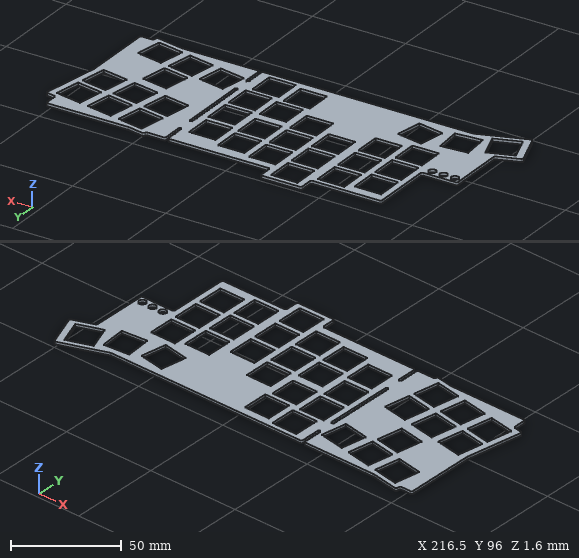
import cadquery as cq
import math

length = 216.5
depth = 96.0
thickness = 1.6

key_opening = 14.0
three_row_span = 34.0
row_pitch = three_row_span / 2
border_half_width = 11.0
border_half_height = 10.0
corner_radius = 0.9

plate_left = 31.2
plate_right = 211.2
plate_bottom = 9.0
plate_top = 88.0

shelf_left = 12.1
shelf_top = 54.1
shelf_hole_count = 3
shelf_hole_diameter = 4.0
shelf_hole_start = 15.5
shelf_hole_pitch = 6.0
shelf_hole_y = 50.7

slot_x = 146.5
slot_width = 1.3
edge_slot_depth = 12.0
middle_slot_bottom = 29.2
middle_slot_top = 68.0


def border_reach(angle):
    """Half extents along X and Y of a rounded key border turned by angle."""
    cosine = math.cos(math.radians(abs(angle)))
    sine = math.sin(math.radians(abs(angle)))
    straight_x = border_half_width - corner_radius
    straight_y = border_half_height - corner_radius
    reach_x = straight_x * cosine + straight_y * sine + corner_radius
    reach_y = straight_x * sine + straight_y * cosine + corner_radius
    return reach_x, reach_y


def shifted(origin, along, across, angle):
    """Point reached from origin by steps along and across a direction turned by angle."""
    cosine = math.cos(math.radians(angle))
    sine = math.sin(math.radians(angle))
    x = origin[0] + along * cosine - across * sine
    y = origin[1] + along * sine + across * cosine
    return x, y


def slab(left, right, bottom, top):
    """Full-thickness plate between the given edges."""
    plate = cq.Workplane("XY").box(right - left, top - bottom, thickness, centered=False)
    return plate.translate((left, bottom, 0))


def placed(body, center, angle):
    """Body turned about Z at the origin, then moved to a centre point."""
    return body.rotate((0, 0, 0), (0, 0, 1), angle).translate((center[0], center[1], 0))


def key_border(center, angle, extra_right=0, extra_down=0):
    """Plate area around a key, optionally lengthened to its right or downward."""
    border = slab(
        -border_half_width,
        border_half_width + extra_right,
        -border_half_height - extra_down,
        border_half_height,
    )
    return placed(border, center, angle)


def key_cutter(center, angle):
    """Square cutter for one key opening."""
    half = key_opening / 2
    return placed(slab(-half, half, -half, half), center, angle)


def slot_cutter(bottom, top):
    """Cutter for one slot with fully rounded ends."""
    slot = cq.Workplane("XY").slot2D(top - bottom, slot_width, 90).extrude(thickness)
    return slot.translate((slot_x, (bottom + top) / 2, 0))


def round_slot_mouth(body, edge_y):
    """Round the two corners where a slot opens through the plate edge at edge_y."""
    mouth = cq.selectors.BoxSelector(
        (slot_x - slot_width, edge_y - slot_width, 0),
        (slot_x + slot_width, edge_y + slot_width, thickness),
    )
    return body.edges("|Z").edges(mouth).fillet(corner_radius)


middle_finger_x = 80.0
middle_finger_top = depth - border_half_height
key_columns = [
    (42.0, 75.2, 3),
    (60.0, 78.0, 3),
    (middle_finger_x, middle_finger_top, 3),
    (98.1, 76.0, 3),
    (116.0, 74.0, 2),
    (117.0, 38.0, 1),
    (115.0, 21.0, 1),
    (134.0, 70.2, 1),
    (135.0, 52.8, 2),
    (133.0, 19.0, 1),
]

thumb_angle = 20
thumb_center = border_reach(thumb_angle)
thumb_keys = [
    (thumb_center, thumb_angle),
    ((31.8, 20.0), 5),
    ((52.6, 22.0), -10),
]

field_angle = -10
field_columns = 3
field_span = 38.0
field_pitch = field_span / (field_columns - 1)
arrow_row_drop = 54.0
field_top_right = (length - border_reach(field_angle)[0], 71.3)
field_top_left = shifted(field_top_right, -field_span, 0, field_angle)
arrow_right = shifted(field_top_right, 0, -arrow_row_drop, field_angle)
arrow_up = shifted(arrow_right, -field_pitch, row_pitch, field_angle)

keys = list(thumb_keys)
for x, top_y, count in key_columns:
    for row in range(count):
        keys.append(((x, top_y - row * row_pitch), 0))
for drop in (0, row_pitch, arrow_row_drop):
    for column in range(field_columns):
        keys.append((shifted(field_top_left, column * field_pitch, -drop, field_angle), field_angle))
keys.append((arrow_up, field_angle))

outline = slab(plate_left, plate_right, plate_bottom, plate_top)
outline = outline.union(slab(shelf_left, plate_left, plate_bottom, shelf_top))
outline = outline.union(key_border(thumb_center, thumb_angle, extra_right=border_half_width))
outline = outline.union(key_border((middle_finger_x, middle_finger_top), 0))
outline = outline.union(key_border(field_top_left, field_angle))
outline = outline.union(key_border(field_top_right, field_angle, extra_down=row_pitch))
outline = outline.union(key_border(arrow_right, field_angle))

result = outline.edges("|Z").fillet(corner_radius)

result = result.cut(slot_cutter(plate_bottom - slot_width, plate_bottom + edge_slot_depth))
result = result.cut(slot_cutter(middle_slot_bottom, middle_slot_top))
result = result.cut(slot_cutter(plate_top - edge_slot_depth, plate_top + slot_width))
result = round_slot_mouth(result, plate_bottom)
result = round_slot_mouth(result, plate_top)

for center, angle in keys:
    result = result.cut(key_cutter(center, angle))

for index in range(shelf_hole_count):
    hole = cq.Workplane("XY").circle(shelf_hole_diameter / 2).extrude(thickness)
    hole_x = shelf_hole_start + index * shelf_hole_pitch
    result = result.cut(hole.translate((hole_x, shelf_hole_y, 0)))